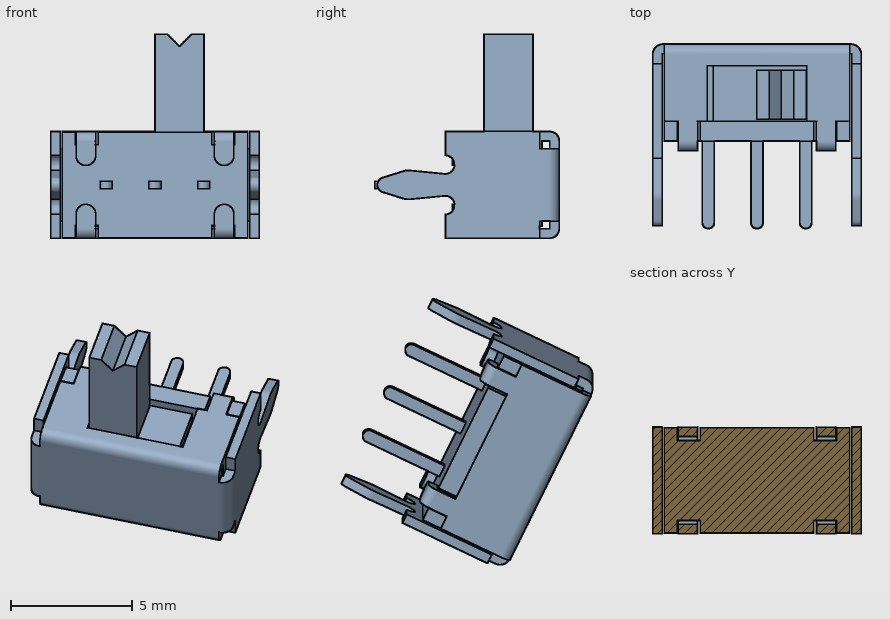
import cadquery as cq


width = 8.6
shell_height = 4.4
sheet = 0.4
side_bend_radius = 0.45
body_width = 7.645
flange_front = -3.17
side_plate_front = -4.695
relief_depth = 0.81
relief_height = 0.705

slot_width = 4.08
slot_back = -0.895

tab_x = 2.85
tab_width = 0.81
tab_length = 1.4

neck_half = 0.46
notch_radius = 0.38
leg_widest_y = -6.29
leg_widest_half = 0.61
leg_corner_radius = 0.7
leg_taper_end_y = -7.275
leg_taper_end_half = 0.3
leg_tip_y = -7.49

body_back = -0.705
body_front = -4.0
flange_clearance = 0.095
lip_recess = 0.035
tab_slot_depth = 0.55
tab_gap_outer = 0.03
tab_gap_inner = 0.1

lever_x = 1.01
lever_size = 2.02
lever_height = 4.0
lever_back = -1.08
groove_width = 1.0
groove_depth = 0.5
travel_gap = 0.23
travel_gap_depth = 0.4

pin_pitch = 2.0
pin_width = 0.51
pin_thickness = 0.31
pin_tip_y = -7.6

shell_top = shell_height / 2
flange_underside = shell_top - sheet
side_inner_x = width / 2 - sheet


def block(x_range, y_range, z_range):
    """Axis-aligned box between two limits along each axis."""
    limits = (x_range, y_range, z_range)
    sizes = [abs(b - a) for a, b in limits]
    lows = [min(a, b) for a, b in limits]
    return cq.Workplane("XY").box(*sizes, centered=False).translate(tuple(lows))


def centered_block(x_width, y_range, z_range):
    """Box that is symmetric about X = 0."""
    return block((-x_width / 2, x_width / 2), y_range, z_range)


def both_sides(solid):
    """Solid together with its copy mirrored across X = 0."""
    return solid.union(solid.mirror("YZ"))


def channel():
    """Back wall with the top and bottom flanges, open at the front and sides."""
    outside = centered_block(body_width, (0, flange_front), (-shell_top, shell_top))
    outside = outside.edges("|X and >Y").fillet(sheet)
    inside = centered_block(body_width, (-sheet, flange_front), (-flange_underside, flange_underside))
    slot = centered_block(slot_width, (slot_back, flange_front), (flange_underside, shell_top))
    return outside.cut(inside).cut(slot)


def side_strap():
    """Back wall strap that folds forward into the two side plates."""
    half_height = shell_top - relief_height
    outside = centered_block(width, (0, -relief_depth), (-half_height, half_height))
    outside = outside.edges("|Z and >Y").fillet(side_bend_radius)
    inside = centered_block(2 * side_inner_x, (-sheet, -relief_depth), (-half_height, half_height))
    return outside.cut(inside)


def leg():
    """Pointed mounting leg on the +X side, starting inside the side plate."""
    outline = (
        cq.Workplane("YZ")
        .moveTo(side_plate_front + notch_radius, neck_half)
        .lineTo(side_plate_front, neck_half)
        .lineTo(leg_widest_y, leg_widest_half)
        .lineTo(leg_taper_end_y, leg_taper_end_half)
        .threePointArc((leg_tip_y, 0), (leg_taper_end_y, -leg_taper_end_half))
        .lineTo(leg_widest_y, -leg_widest_half)
        .lineTo(side_plate_front, -neck_half)
        .lineTo(side_plate_front + notch_radius, -neck_half)
        .close()
    )
    solid = outline.extrude(sheet)
    for z in (-leg_widest_half, leg_widest_half):
        corner = cq.selectors.NearestToPointSelector((sheet / 2, leg_widest_y, z))
        solid = solid.edges("|X").edges(corner).fillet(leg_corner_radius)
    return solid.translate((side_inner_x, 0, 0))


def side_plate():
    """Side plate on the +X side with its leg between two round notches."""
    plate = block(
        (side_inner_x, width / 2), (-relief_depth, side_plate_front), (-shell_top, shell_top)
    )
    notch_z = neck_half + notch_radius
    notches = (
        cq.Workplane("YZ", origin=(side_inner_x, side_plate_front, 0))
        .pushPoints([(0, -notch_z), (0, notch_z)])
        .circle(notch_radius)
        .extrude(sheet)
    )
    return plate.cut(notches).union(leg())


def tab():
    """Upper clinching tab on the +X side, folded down over the body front."""
    tab_front = body_front - sheet
    half = tab_width / 2
    arc_z = shell_top - tab_length + half
    outside = (
        cq.Workplane("XZ", origin=(tab_x, flange_front, 0))
        .moveTo(-half, shell_top)
        .lineTo(-half, arc_z)
        .threePointArc((0, arc_z - half), (half, arc_z))
        .lineTo(half, shell_top)
        .close()
        .extrude(flange_front - tab_front)
    )
    outside = outside.edges("|X and <Y and >Z").fillet(sheet)
    inside = block(
        (tab_x - half, tab_x + half), (flange_front, body_front), (arc_z - half, flange_underside)
    )
    return outside.cut(inside)


def body():
    """Plastic body with a front lip that is slotted for the tabs."""
    core = centered_block(
        body_width, (body_back, body_front), (-flange_underside + flange_clearance, flange_underside)
    )
    lip_top = shell_top - lip_recess
    lip = centered_block(body_width, (flange_front, body_front), (-lip_top, lip_top))
    tab_slot = block(
        (tab_x - tab_width / 2 - tab_gap_inner, tab_x + tab_width / 2 + tab_gap_outer),
        (flange_front, body_front),
        (shell_top - tab_slot_depth, shell_top),
    )
    tab_slots = both_sides(tab_slot)
    strip = block(
        (-slot_width / 2, -slot_width / 2 + travel_gap),
        (slot_back, flange_front),
        (flange_underside - travel_gap_depth, flange_underside),
    )
    return core.union(lip).cut(tab_slots).cut(tab_slots.mirror("XY")).cut(strip)


def lever():
    """Square slider lever with a V groove across its top."""
    top = shell_top + lever_height
    left = lever_x - lever_size / 2
    right = lever_x + lever_size / 2
    return (
        cq.Workplane("XZ", origin=(0, lever_back, 0))
        .moveTo(left, flange_underside)
        .lineTo(left, top)
        .lineTo(lever_x - groove_width / 2, top)
        .lineTo(lever_x, top - groove_depth)
        .lineTo(lever_x + groove_width / 2, top)
        .lineTo(right, top)
        .lineTo(right, flange_underside)
        .close()
        .extrude(lever_size)
    )


def pin(x):
    """Flat contact pin with a round tip."""
    half = pin_width / 2
    return (
        cq.Workplane("XY", origin=(x, 0, -pin_thickness / 2))
        .moveTo(-half, body_front)
        .lineTo(-half, pin_tip_y + half)
        .threePointArc((0, pin_tip_y), (half, pin_tip_y + half))
        .lineTo(half, body_front)
        .close()
        .extrude(pin_thickness)
    )


upper_tabs = both_sides(tab())

result = channel().union(side_strap()).union(both_sides(side_plate())).union(body()).union(lever())
result = result.union(upper_tabs).union(upper_tabs.mirror("XY"))
for x in (-pin_pitch, 0, pin_pitch):
    result = result.union(pin(x))